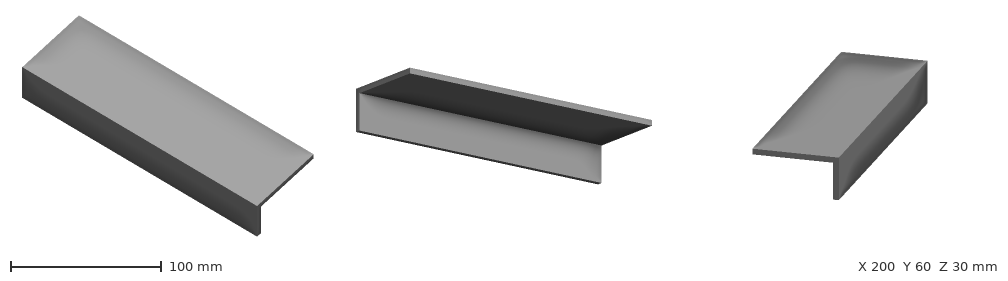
import cadquery as cq

length = 200.0
flange_width = 60.0
leg_height = 30.0
thickness = 4.0

section = [
    (0, 0),
    (flange_width, 0),
    (flange_width, -thickness),
    (thickness, -thickness),
    (thickness, -leg_height),
    (0, -leg_height),
]

result = cq.Workplane("YZ").polyline(section).close().extrude(length)